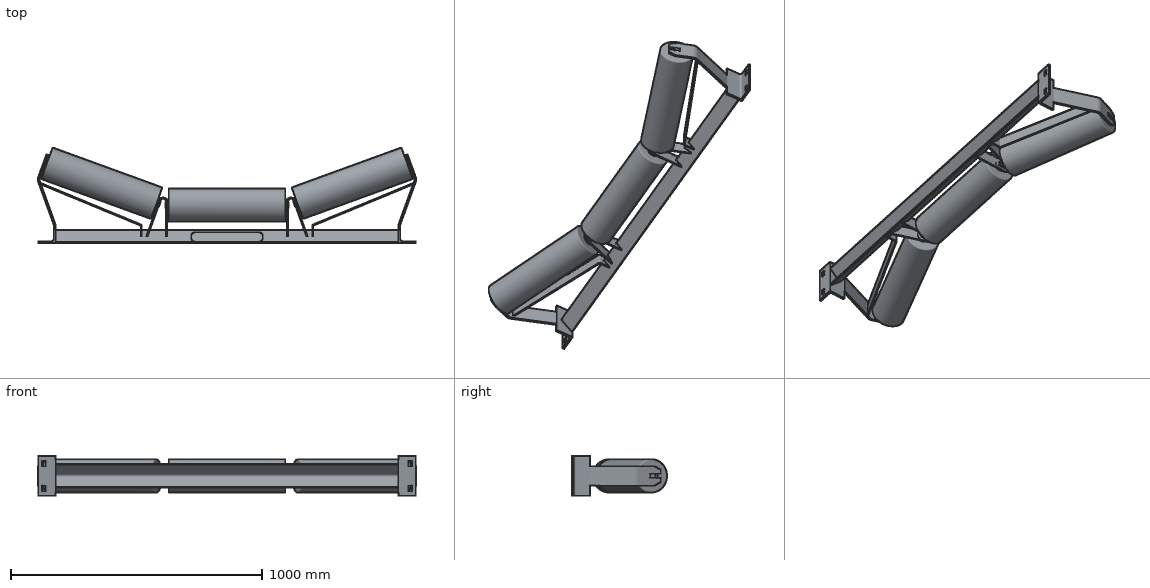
import cadquery as cq
import math


ROLLER_RADIUS = 66.9
ROLLER_LENGTH = 465.0
ROLLER_EDGE_FILLET = 5.0
HUB_RADIUS = 24.0
SHAFT_DEPTH = 21.0
SHAFT_FLAT_WIDTH = 15.0
TROUGH_ANGLE = 20.0
MIDDLE_ROLLER_Y = 150.0
WING_ROLLER_X = 498.0
WING_ROLLER_Y = 238.0

PLATE = 8.0
BAR = 5.0
HUB_LENGTH = 6.0
INNER_FACE = ROLLER_LENGTH / 2 + HUB_LENGTH
OUTER_FACE = INNER_FACE + PLATE

BEAM_HALF_HEIGHT = 48.0
BEAM_THICKNESS = 6.0
BEAM_INNER_RADIUS = 9.0
BEAM_HALF_LENGTH = 681.0
BEAM_TIP = BEAM_THICKNESS / math.sqrt(2)
BEAM_CORNER_Y = BEAM_HALF_HEIGHT + BEAM_TIP

NAMEPLATE_LENGTH = 283.0
NAMEPLATE_WIDTH = 54.0
NAMEPLATE_THICKNESS = 2.0
NAMEPLATE_CORNER = 18.0

FOOT_HALF_SPAN = 750.0
FOOT_HEIGHT = 160.0
FOOT_DEPTH = 72.0
FOOT_FILLET = 9.0
BOLT_HOLE_X = 728.0
BOLT_HOLE_Z = 50.0
BOLT_HOLE_WIDTH = 14.0
BOLT_HOLE_HEIGHT = 21.0
ARM_HEIGHT = 78.0
ARM_TIP_HEIGHT = 51.0
ARM_TIP_TAPER = 25.0
ARM_TIP_REACH = 33.0
ARM_KNEE_DROP = 74.0
ARM_KNEE_RADIUS = 23.0
ARM_BASE_RADIUS = 6.0

BAR_HEIGHT = 53.0
BRACE_X = 338.0
BRACE_BEND_Y = 72.0
BRACE_BEND_RADIUS = 3.0
BRACE_END_Y = 239.0
SADDLE_BEND_RADIUS = 10.0
BAR_FOOT_Y = 15.0

COS = math.cos(math.radians(TROUGH_ANGLE))
SIN = math.sin(math.radians(TROUGH_ANGLE))


def on_wing_axis(along, across):
    """Point given outward along the wing roller axis and upward across it."""
    return (
        WING_ROLLER_X + along * COS - across * SIN,
        WING_ROLLER_Y + along * SIN + across * COS,
    )


def along_x(section, half_length):
    """Extrude a YZ section symmetrically about X = 0."""
    return section.extrude(2 * half_length).translate((-half_length, 0, 0))


def at_middle(body):
    return body.translate((0, MIDDLE_ROLLER_Y, 0))


def at_wing(body):
    turned = body.rotate((0, 0, 0), (0, 0, 1), TROUGH_ANGLE)
    return turned.translate((WING_ROLLER_X, WING_ROLLER_Y, 0))


def mirrored(body):
    return body.mirror("YZ")


def mirrored_pair(body):
    return [body, mirrored(body)]


def offset_to_left(path, distance):
    """Mitred parallel of an open polyline, on the left of its direction of travel."""
    headings = [math.atan2(b[1] - a[1], b[0] - a[0]) for a, b in zip(path, path[1:])]
    before = headings[:1] + headings
    after = headings + headings[-1:]
    shifted = []
    for (x, y), first, second in zip(path, before, after):
        normal = (first + second) / 2 + math.pi / 2
        reach = distance / math.cos((second - first) / 2)
        shifted.append((x + reach * math.cos(normal), y + reach * math.sin(normal)))
    return shifted


def fillet_upright_edge(body, point, radius):
    """Round the Z-parallel edge that passes through an XY point."""
    nearest = cq.selectors.NearestToPointSelector((point[0], point[1], 0))
    return body.edges("|Z").edges(nearest).fillet(radius)


def sheet_along(path, height, thickness):
    """Sharp-cornered sheet along an XY path, its thickness on the left."""
    outline = path + offset_to_left(path, thickness)[::-1]
    sheet = cq.Workplane("XY").polyline(outline).close().extrude(height)
    return sheet.translate((0, 0, -height / 2))


def bent_sheet(path, height, thickness, bend_radii):
    """Sheet along an XY path, its thickness on the left; one inside radius per bend."""
    other = offset_to_left(path, thickness)
    sheet = sheet_along(path, height, thickness)
    for i, radius in enumerate(bend_radii, start=1):
        a, b, c = path[i - 1], path[i], path[i + 1]
        turn = (b[0] - a[0]) * (c[1] - b[1]) - (b[1] - a[1]) * (c[0] - b[0])
        inside, outside = (other[i], b) if turn > 0 else (b, other[i])
        sheet = fillet_upright_edge(sheet, inside, radius)
        sheet = fillet_upright_edge(sheet, outside, radius + thickness)
    return sheet


def make_roller():
    """Roller along X about the origin, with hubs and rectangular shaft ends."""
    shell = along_x(cq.Workplane("YZ").circle(ROLLER_RADIUS), ROLLER_LENGTH / 2)
    shell = shell.edges().fillet(ROLLER_EDGE_FILLET)
    hubs = along_x(cq.Workplane("YZ").circle(HUB_RADIUS), INNER_FACE)
    shaft = cq.Workplane("XY").box(2 * OUTER_FACE, SHAFT_DEPTH, SHAFT_FLAT_WIDTH)
    return shell.union(hubs).union(shaft)


def make_shaft_slots():
    """Cutter for the shaft slots at both ends of a roller along X: open upward from the shaft."""
    slot_end = ARM_TIP_REACH + PLATE
    length = slot_end + SHAFT_DEPTH / 2
    slot = cq.Workplane("XY").box(2 * PLATE, length, SHAFT_FLAT_WIDTH)
    right = slot.translate((OUTER_FACE, slot_end - length / 2, 0))
    return right.union(mirrored(right))


def make_beam():
    outline = [
        (BEAM_TIP, BEAM_HALF_HEIGHT),
        (BEAM_CORNER_Y, 0),
        (BEAM_TIP, -BEAM_HALF_HEIGHT),
        (0, BEAM_TIP - BEAM_HALF_HEIGHT),
        (BEAM_HALF_HEIGHT - BEAM_TIP, 0),
        (0, BEAM_HALF_HEIGHT - BEAM_TIP),
    ]
    beam = along_x(cq.Workplane("YZ").polyline(outline).close(), BEAM_HALF_LENGTH)
    inner_corner = cq.selectors.NearestToPointSelector((0, BEAM_HALF_HEIGHT - BEAM_TIP, 0))
    return beam.edges("|X").edges(inner_corner).fillet(BEAM_INNER_RADIUS)


def make_beam_envelope():
    """The beam with the space between its legs filled: trims the bars that stand on it."""
    outline = [(BEAM_TIP, BEAM_HALF_HEIGHT), (BEAM_CORNER_Y, 0), (BEAM_TIP, -BEAM_HALF_HEIGHT)]
    return along_x(cq.Workplane("YZ").polyline(outline).close(), BEAM_HALF_LENGTH)


def make_nameplate():
    """Rounded plate lying on the upper outer face of the beam, flush with the free edge of its leg."""
    slope = 45
    half_rise = NAMEPLATE_WIDTH / 2 * math.sin(math.radians(slope))
    centre = (0, BEAM_TIP + half_rise, BEAM_HALF_HEIGHT - half_rise)
    plate = cq.Workplane("XY").rect(NAMEPLATE_LENGTH, NAMEPLATE_WIDTH).extrude(NAMEPLATE_THICKNESS)
    plate = plate.edges("|Z").fillet(NAMEPLATE_CORNER)
    return plate.rotate((0, 0, 0), (1, 0, 0), -slope).translate(centre)


def make_foot():
    """Angle plate with two bolt holes, standing against the end of the beam."""
    path = [(BEAM_HALF_LENGTH, FOOT_DEPTH), (BEAM_HALF_LENGTH, 0), (FOOT_HALF_SPAN, 0)]
    inside_corner = (BEAM_HALF_LENGTH + PLATE, PLATE)
    foot = fillet_upright_edge(sheet_along(path, FOOT_HEIGHT, PLATE), inside_corner, FOOT_FILLET)
    holes = (
        cq.Workplane("XZ")
        .pushPoints([(BOLT_HOLE_X, BOLT_HOLE_Z), (BOLT_HOLE_X, -BOLT_HOLE_Z)])
        .rect(BOLT_HOLE_WIDTH, BOLT_HOLE_HEIGHT)
        .extrude(-PLATE)
    )
    return foot.cut(holes)


def make_arm():
    """Arm from the top of the foot to the outer end of the wing roller."""
    path = [
        (BEAM_HALF_LENGTH + PLATE, FOOT_DEPTH / 2),
        (BEAM_HALF_LENGTH + PLATE, FOOT_DEPTH),
        on_wing_axis(OUTER_FACE, -ARM_KNEE_DROP),
        on_wing_axis(OUTER_FACE, ARM_TIP_REACH),
    ]
    arm = bent_sheet(path, ARM_HEIGHT, PLATE, [ARM_BASE_RADIUS, ARM_KNEE_RADIUS])
    taper_start = ARM_TIP_REACH - ARM_TIP_TAPER
    for side in (1, -1):
        corner = (
            cq.Workplane("YZ")
            .polyline(
                [
                    (taper_start, side * ARM_HEIGHT / 2),
                    (ARM_TIP_REACH, side * ARM_HEIGHT / 2),
                    (ARM_TIP_REACH, side * ARM_TIP_HEIGHT / 2),
                ]
            )
            .close()
            .extrude(OUTER_FACE)
        )
        arm = arm.cut(at_wing(corner))
    return arm


def make_brace():
    """Bar from the beam up to the arm, just below its knee."""
    knee_x, knee_y = on_wing_axis(OUTER_FACE, -ARM_KNEE_DROP)
    base_x = BEAM_HALF_LENGTH + PLATE
    rise = (BRACE_END_Y - FOOT_DEPTH) / (knee_y - FOOT_DEPTH)
    end_x = base_x + rise * (knee_x - base_x) - PLATE
    path = [(BRACE_X, BAR_FOOT_Y), (BRACE_X, BRACE_BEND_Y), (end_x, BRACE_END_Y)]
    return bent_sheet(path[::-1], BAR_HEIGHT, BAR, [BRACE_BEND_RADIUS])


def make_end_bracket():
    bracket = make_foot().union(make_arm()).union(make_brace())
    return bracket.cut(at_wing(make_shaft_slots())).cut(make_beam_envelope())


def make_saddle():
    """Folded bar between two rollers; each leg holds the shaft of one roller."""
    fold_across = (INNER_FACE - on_wing_axis(-INNER_FACE, 0)[0]) / -SIN
    wing_leg_foot = (on_wing_axis(-INNER_FACE, 0)[1] - BAR_FOOT_Y) / COS
    path = [
        on_wing_axis(-INNER_FACE, -wing_leg_foot),
        on_wing_axis(-INNER_FACE, fold_across),
        (INNER_FACE, BAR_FOOT_Y),
    ]
    saddle = bent_sheet(path, BAR_HEIGHT, BAR, [SADDLE_BEND_RADIUS])
    slots = at_middle(make_shaft_slots()).union(at_wing(make_shaft_slots()))
    return saddle.cut(slots).cut(make_beam_envelope())


beam = make_beam()
nameplate = make_nameplate()
middle_roller = at_middle(make_roller())

wing_rollers = mirrored_pair(at_wing(make_roller()))
end_brackets = mirrored_pair(make_end_bracket())
saddles = mirrored_pair(make_saddle())

bodies = [beam, nameplate, middle_roller, *wing_rollers, *end_brackets, *saddles]
result = cq.Compound.makeCompound([body.val() for body in bodies])